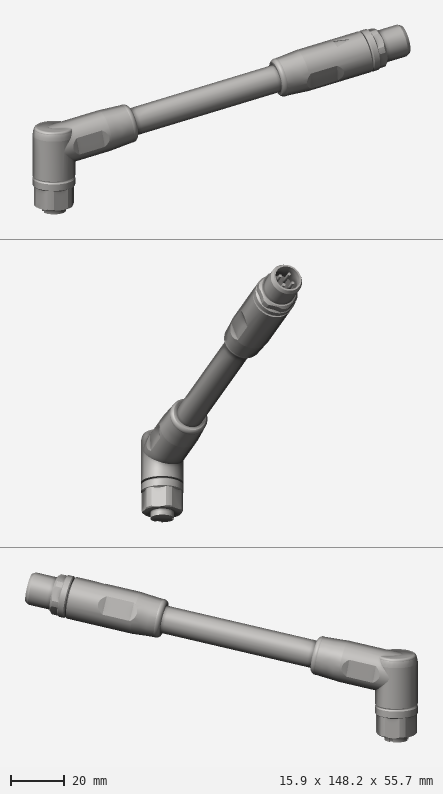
import cadquery as cq
import math


OVERALL_LENGTH = 148.2
BODY_R = 15.9 / 2
ELBOW_R = 15.7 / 2
CABLE_R = 5.2
ARM_TILT = 10
ARM_HEIGHT = 25.3
MALE_ROLL = 18
MARGIN = 1.5
ARC_MID = math.sin(math.pi / 4)

NUT_APOTHEM = 7.1
NUT_CORNER_R = 15.3 / 2
NUT_NECK_R = 6.2
NUT_GAP = 0.6
RING_EDGE = 0.5
RING_BEVEL = 0.6

CORE_R = 4.5
CORE_LENGTH = 2.4
FEMALE_HEX = 7.4
FEMALE_RING = 3.5
FEMALE_NUT_CHAMFER = 0.5
FEMALE_BODY_Z = CORE_LENGTH + FEMALE_HEX + FEMALE_RING + NUT_GAP
HEAD_TOP_Z = 32.9
HEAD_ROUND_Z = 29.6
HEAD_SHOULDER_Z = 32.0
HEAD_SHOULDER_R = 7.4
HEAD_FLAT_R = 6.4
KEYWAY_WIDTH = 2.0
KEYWAY_DEPTH = 0.9
SIDE_SLOT_WIDTH = 1.3
SIDE_SLOT_Y = 1.0

SLEEVE_END_R = 7.3
SLEEVE_LIP_R = 6.4
SLEEVE_LIP = 1.3
ELBOW_START = -0.7
ELBOW_TAPER_START = 20.2
ELBOW_TAPER_LENGTH = 6.2
MALE_TAPER_START = 100.0
MALE_TAPER_LENGTH = 5.8
MALE_BODY_END = 125.1

MALE_RING = 3.1
MALE_HEX = 3.0
MALE_NUT_CHAMFER = 0.9
NOSE_R = 12.3 / 2
NOSE_BEVEL_LENGTH = 1.3
NOSE_BEVEL_DEPTH = 0.7
NOSE_TIP_R = NOSE_R - NOSE_BEVEL_DEPTH
NOSE_REACH = OVERALL_LENGTH - BODY_R
TILT = math.radians(ARM_TILT)
NOSE_END = (NOSE_REACH - NOSE_TIP_R * math.sin(TILT)) / math.cos(TILT)
SOCKET_R = 4.7
SOCKET_DEPTH = 7.4
PIN_COUNT = 4
PIN_R = 0.6
PIN_START_ANGLE = 45
PIN_CIRCLE_R = 2.7
PIN_RECESS = 1.2

GRIP_APOTHEM = 7.1
GRIP_RAMP = 2.4
ELBOW_GRIP = (7.0, 17.2)
MALE_GRIP = (100.8, 111.3)

ARROW_TIP = 119.8
ARROW_BASE = 113.8
ARROW_HALF_WIDTH = 2.0
ARROW_DEPTH = 0.3


def cylinder(radius, start, end):
    return cq.Workplane("XY").workplane(offset=start).circle(radius).extrude(end - start)


def turned(points):
    """Revolve a closed (radius, height) outline about the Z axis."""
    outline = cq.Workplane("XZ").polyline(points).close()
    return outline.revolve(360, (0, 0, 0), (0, 1, 0))


def coupling_nut(ring_length, hex_length, end_chamfer):
    """Neck, round ring and rounded hexagon, stacked upwards from z = 0."""
    ring_top = NUT_GAP + ring_length
    nut_top = ring_top + hex_length
    ring = turned([
        (0, 0),
        (NUT_NECK_R, 0),
        (NUT_NECK_R, NUT_GAP),
        (BODY_R - RING_EDGE, NUT_GAP),
        (BODY_R, NUT_GAP + RING_EDGE),
        (BODY_R, ring_top - RING_BEVEL),
        (NUT_APOTHEM, ring_top),
        (0, ring_top),
    ])
    hexagon_corner = NUT_APOTHEM / math.cos(math.pi / 6)
    hexagon = (
        cq.Workplane("XY").workplane(offset=NUT_GAP + RING_EDGE)
        .polygon(6, 2 * hexagon_corner).extrude(nut_top - NUT_GAP - RING_EDGE)
        .rotate((0, 0, 0), (0, 0, 1), 90)
    )
    corner_limit = cylinder(NUT_CORNER_R, 0, nut_top).faces(">Z").chamfer(end_chamfer)
    return ring.union(hexagon.intersect(corner_limit))


def sleeve(body_r, body_end, taper_start, taper_length, direction):
    """Plug body that tapers towards the cable and ends in a rounded lip."""
    lip_start = taper_start + direction * taper_length
    lip_end = lip_start + direction * SLEEVE_LIP
    lip_mid_r = SLEEVE_LIP_R + (SLEEVE_END_R - SLEEVE_LIP_R) * ARC_MID
    lip_mid = lip_start + direction * SLEEVE_LIP * ARC_MID
    return (
        cq.Workplane("XZ")
        .moveTo(0, body_end)
        .lineTo(body_r, body_end)
        .lineTo(body_r, taper_start)
        .lineTo(SLEEVE_END_R, lip_start)
        .threePointArc((lip_mid_r, lip_mid), (SLEEVE_LIP_R, lip_end))
        .lineTo(0, lip_end)
        .close()
        .revolve(360, (0, 0, 0), (0, 1, 0))
    )


def cut_grip_flats(body, span):
    """Cut a flat with sloping ends into both X sides of a plug body."""
    start, end = span
    cutter = (
        cq.Workplane("XZ")
        .polyline([
            (GRIP_APOTHEM, start),
            (GRIP_APOTHEM, end),
            (BODY_R, end + GRIP_RAMP),
            (BODY_R + MARGIN, end + GRIP_RAMP),
            (BODY_R + MARGIN, start - GRIP_RAMP),
            (BODY_R, start - GRIP_RAMP),
        ])
        .close()
        .extrude(BODY_R, both=True)
    )
    return body.cut(cutter).cut(cutter.mirror("YZ"))


def engraved_arrow():
    """Arrow-shaped cutter on the -Y side, pointing at the male end."""
    prism = (
        cq.Workplane("XZ")
        .polyline([
            (0, ARROW_TIP),
            (ARROW_HALF_WIDTH, ARROW_BASE),
            (-ARROW_HALF_WIDTH, ARROW_BASE),
        ])
        .close()
        .extrude(BODY_R + MARGIN)
    )
    return prism.cut(cylinder(BODY_R - ARROW_DEPTH, ARROW_BASE - MARGIN, ARROW_TIP + MARGIN))


def male_nose():
    """Hollow nose with a ring of contact pins."""
    socket_floor = NOSE_END - SOCKET_DEPTH
    nose = turned([
        (0, MALE_BODY_END),
        (NOSE_R, MALE_BODY_END),
        (NOSE_R, NOSE_END - NOSE_BEVEL_LENGTH),
        (NOSE_TIP_R, NOSE_END),
        (SOCKET_R, NOSE_END),
        (SOCKET_R, socket_floor),
        (0, socket_floor),
    ])
    pins = (
        cq.Workplane("XY").workplane(offset=socket_floor - MARGIN)
        .polarArray(PIN_CIRCLE_R, PIN_START_ANGLE, 360, PIN_COUNT)
        .circle(PIN_R)
        .extrude(SOCKET_DEPTH + MARGIN - PIN_RECESS)
    )
    return nose.union(pins)


def male_plug():
    """Male plug along Z, with its marked side facing -Y before the twist."""
    body = sleeve(BODY_R, MALE_BODY_END, MALE_TAPER_START, MALE_TAPER_LENGTH, -1.5)
    body = cut_grip_flats(body, MALE_GRIP).cut(engraved_arrow())
    nut = coupling_nut(MALE_RING, MALE_HEX, MALE_NUT_CHAMFER).translate((0, 0, MALE_BODY_END))
    plug = body.union(nut).union(male_nose())
    return plug.rotate((0, 0, 0), (0, 0, 1), MALE_ROLL)


def arm():
    """Elbow sleeve, cable and male plug, laid along the tilted cable axis."""
    elbow = sleeve(ELBOW_R, ELBOW_START, ELBOW_TAPER_START, ELBOW_TAPER_LENGTH, 1.5)
    elbow = cut_grip_flats(elbow, ELBOW_GRIP)
    cable = cylinder(CABLE_R, ELBOW_TAPER_START, MALE_TAPER_START)
    straight = elbow.union(cable).union(male_plug())
    tilted = straight.rotate((0, 0, 0), (1, 0, 0), ARM_TILT - 90)
    return tilted.translate((0, 0, ARM_HEIGHT))


def female_head():
    """Upright round body with a rounded, flat-topped head."""
    narrowing_mid = (
        BODY_R - (BODY_R - HEAD_SHOULDER_R) / 4,
        (HEAD_ROUND_Z + HEAD_SHOULDER_Z) / 2,
    )
    shoulder_mid = (
        HEAD_FLAT_R + (HEAD_SHOULDER_R - HEAD_FLAT_R) * ARC_MID,
        HEAD_SHOULDER_Z + (HEAD_TOP_Z - HEAD_SHOULDER_Z) * ARC_MID,
    )
    return (
        cq.Workplane("XZ")
        .moveTo(0, FEMALE_BODY_Z)
        .lineTo(BODY_R, FEMALE_BODY_Z)
        .lineTo(BODY_R, HEAD_ROUND_Z)
        .threePointArc(narrowing_mid, (HEAD_SHOULDER_R, HEAD_SHOULDER_Z))
        .threePointArc(shoulder_mid, (HEAD_FLAT_R, HEAD_TOP_Z))
        .lineTo(0, HEAD_TOP_Z)
        .close()
        .revolve(360, (0, 0, 0), (0, 1, 0))
    )


def female_core():
    """Contact core below the nut, with a keyway at -Y and a slot at -X."""
    core = cylinder(CORE_R, 0, CORE_LENGTH + MARGIN)
    keyway = (
        cq.Workplane("XY").center(0, -CORE_R)
        .rect(KEYWAY_WIDTH, 2 * KEYWAY_DEPTH).extrude(CORE_LENGTH)
    )
    side_slot = (
        cq.Workplane("XY").center(-CORE_R, SIDE_SLOT_Y)
        .rect(2 * KEYWAY_DEPTH, SIDE_SLOT_WIDTH).extrude(CORE_LENGTH)
    )
    return core.cut(keyway).cut(side_slot)


def female_plug():
    nut = (
        coupling_nut(FEMALE_RING, FEMALE_HEX, FEMALE_NUT_CHAMFER)
        .rotate((0, 0, 0), (1, 0, 0), 180)
        .translate((0, 0, FEMALE_BODY_Z))
    )
    return female_head().union(nut).union(female_core())


result = female_plug().union(arm())